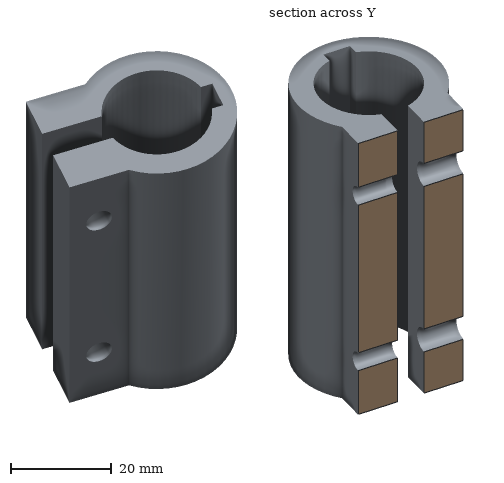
import cadquery as cq

length = 66.0
outer_diameter = 32.0
bore_diameter = 22.0
overall_depth = 39.3

lugs_width = 24.0
gap_width = 6.0
lug_end_y = outer_diameter / 2 - overall_depth

keyway_width = gap_width
keyway_floor_y = 13.0

narrow_hole_diameter = 4.2
wide_hole_diameter = 5.5
screw_hole_y = -16.95
screw_hole_end_distance = 12.9


def block(width, y_start, y_end):
    """Full-length block centred on X between two Y positions."""
    depth = y_end - y_start
    return cq.Workplane("XY").center(0, y_start + depth / 2).rect(width, depth).extrude(length)


def lug_hole(diameter, z, lug_side):
    """Cutter along X from the middle of the gap out through one lug (lug_side is -1 or +1)."""
    return (
        cq.Workplane("YZ")
        .center(screw_hole_y, z)
        .circle(diameter / 2)
        .extrude(lug_side * outer_diameter / 2)
    )


body = cq.Workplane("XY").circle(outer_diameter / 2).extrude(length)
body = body.union(block(lugs_width, lug_end_y, 0))

bore = cq.Workplane("XY").circle(bore_diameter / 2).extrude(length)
body = body.cut(bore)
body = body.cut(block(gap_width, lug_end_y, 0))
body = body.cut(block(keyway_width, 0, keyway_floor_y))

for hole_z in (screw_hole_end_distance, length - screw_hole_end_distance):
    body = body.cut(lug_hole(narrow_hole_diameter, hole_z, -1))
    body = body.cut(lug_hole(wide_hole_diameter, hole_z, 1))

result = body